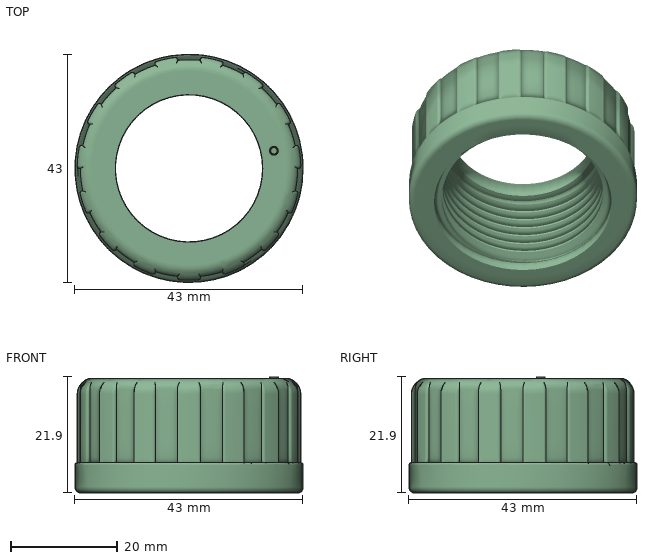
import cadquery as cq
import math

base_diameter = 43.0
base_radius = base_diameter / 2
base_height = 5.7
base_bottom_round = 1.08
base_top_round = 0.5
body_radius = 20.45
body_height = 21.6
body_top_round = 2.05

rib_count = 15
rib_pitch_angle = 360 / rib_count
first_rib_angle = -90.0
rib_radius = 21.05
rib_angle = 12.3
rib_edge_round = 0.5
rib_straight_top = 18.65
rib_crown_round = 2.85
rib_root_radius = 18.05

mouth_radius = 27.7 / 2
mouth_length = 3.45
mouth_bottom = body_height - mouth_length
thread_minor_radius = 30.27 / 2
thread_major_radius = 33.25 / 2
thread_length = 16.15
thread_turns = 7
thread_pitch = thread_length / thread_turns
thread_flat = thread_pitch / 6
thread_flank = thread_pitch / 3
thread_start_height = 0.9
thread_start_angle = 20.0
thread_overlap = 0.15

lead_in_depth = 2.0
lead_in_clearance = 0.15
lead_in_radius = thread_major_radius + lead_in_clearance

ring_outer_diameter = 1.65
ring_inner_diameter = 1.25
ring_height = 0.3
ring_x = 16.0
ring_y = 3.3


def make_body():
    base = cq.Workplane("XY").circle(base_radius).extrude(base_height)
    base = base.faces("<Z").edges().fillet(base_bottom_round)
    base = base.faces(">Z").edges().fillet(base_top_round)
    barrel = cq.Workplane("XY").circle(body_radius).extrude(body_height)
    barrel = barrel.faces(">Z").edges().fillet(body_top_round)
    return base.union(barrel)


def make_rib():
    """One grip rib centred on +X: a revolved sector with a curved crown and rounded long edges."""
    rib_bottom = base_height / 2
    crown_centre_radius = rib_radius - rib_crown_round
    crown_mid = rib_crown_round * math.sqrt(0.5)
    crown_top = rib_straight_top + rib_crown_round
    rib = (
        cq.Workplane("XZ")
        .moveTo(rib_root_radius, rib_bottom)
        .lineTo(rib_radius, rib_bottom)
        .lineTo(rib_radius, rib_straight_top)
        .threePointArc(
            (crown_centre_radius + crown_mid, rib_straight_top + crown_mid),
            (crown_centre_radius, crown_top),
        )
        .lineTo(rib_root_radius, crown_top)
        .close()
        .revolve(rib_angle, (0, 0), (0, 1))
    )
    centred = rib.rotate((0, 0, 0), (0, 0, 1), -rib_angle / 2)
    edge_box = cq.selectors.BoxSelector(
        (body_radius, -base_radius, 0),
        (base_radius, base_radius, body_height),
    )
    return centred.faces(">Y or <Y").edges(edge_box).fillet(rib_edge_round)


def add_ribs(body):
    rib = make_rib()
    for index in range(rib_count):
        angle = first_rib_angle + index * rib_pitch_angle
        body = body.union(rib.rotate((0, 0, 0), (0, 0, 1), angle))
    return body


def cut_bore(body):
    mouth = cq.Workplane("XY").circle(mouth_radius).extrude(body_height)
    minor_bore = cq.Workplane("XY").circle(thread_minor_radius).extrude(mouth_bottom)
    lead_in = cq.Workplane("XY").circle(lead_in_radius).extrude(lead_in_depth)
    return body.cut(mouth).cut(minor_bore).cut(lead_in)


def make_thread_groove():
    """Right-hand helical groove with a flat root, its flanks carried slightly inside the bore."""
    root_half_width = thread_flat / 2
    flank_slope = thread_flank / (thread_major_radius - thread_minor_radius)
    inner_radius = thread_minor_radius - thread_overlap
    mouth_half_width = root_half_width + flank_slope * (thread_major_radius - inner_radius)
    helix = cq.Wire.makeHelix(thread_pitch, thread_length, thread_minor_radius)
    groove = (
        cq.Workplane("XZ")
        .polyline(
            [
                (inner_radius, -mouth_half_width),
                (thread_major_radius, -root_half_width),
                (thread_major_radius, root_half_width),
                (inner_radius, mouth_half_width),
            ]
        )
        .close()
        .sweep(cq.Workplane(obj=helix), isFrenet=True)
    )
    groove = groove.rotate((0, 0, 0), (0, 0, 1), thread_start_angle)
    return groove.translate((0, 0, thread_start_height))


def make_top_ring():
    return (
        cq.Workplane("XY", origin=(ring_x, ring_y, body_height))
        .circle(ring_outer_diameter / 2)
        .circle(ring_inner_diameter / 2)
        .extrude(ring_height)
    )


ribbed_body = add_ribs(make_body())
bored_body = cut_bore(ribbed_body).union(make_top_ring())
result = bored_body.cut(make_thread_groove())